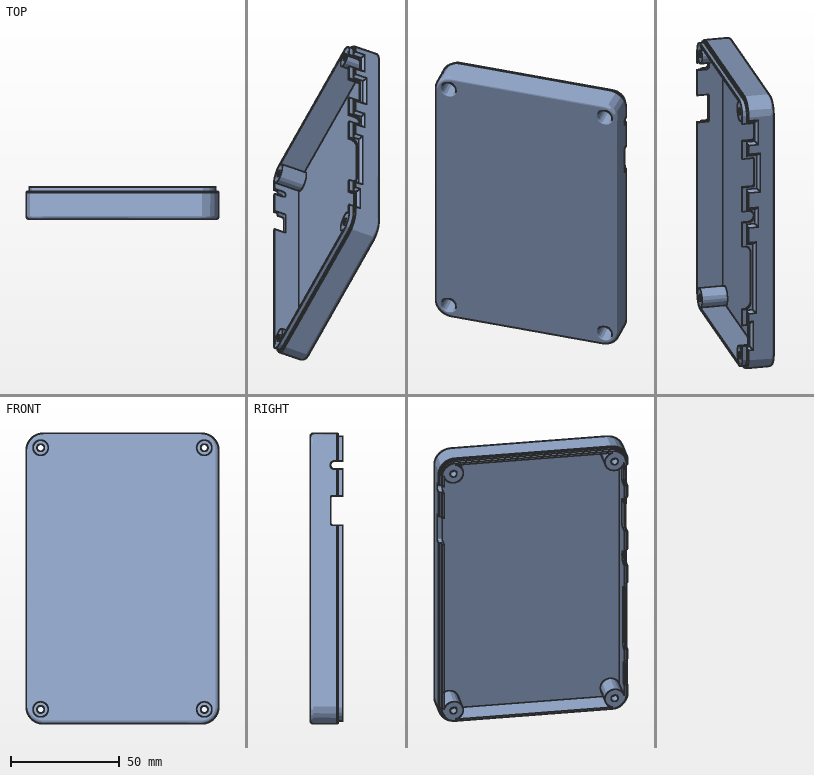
import cadquery as cq

width = 88.5
thickness = 15.0
height = 133.4

corner_radius = 8.0
wall = 2.3
floor = 3.0
base_fillet = 1.6

lip_inset = 1.3
lip_corner_radius = 6.3
lip_height = 2.0
rim_chamfer_depth = 0.7
rim_chamfer_width = 0.47

screw_inset = 6.7
screw_diameter = 3.2
head_diameter = 7.0
head_depth = 9.3
head_fillet = 0.5
post_diameter = 9.1

ports = [
    ((47.4, 55.8, 5.6, 1.1), (45.5, 57.6, 7.2)),
    ((24.5, 38.5, 5.5, 0.7), (22.1, 41.2, 8.1)),
    ((7.2, 12.7, 5.5, 2.7), (5.0, 14.7, 7.2)),
    ((-35.6, -4.5, 3.9, 3.2), (-37.4, -2.3, 6.1)),
    ((-53.6, -43.4, 2.7, 0.1), (-55.4, -41.2, 4.8)),
]
relief_bevel_angle = 45

far_openings = [
    (50.3, 53.9, 5.6, 1.7),
    (24.5, 37.9, 5.5, 0.7),
]

side_x = width / 2
base_y = -thickness / 2
lip_y = thickness / 2
rim_y = lip_y - lip_height
floor_y = base_y + floor

screw_points = [
    (x_sign * (side_x - screw_inset), z_sign * (height / 2 - screw_inset))
    for x_sign in (-1, 1)
    for z_sign in (-1, 1)
]


def rounded_block(inset, radius, start_y, end_y):
    """Block with rounded corners between two Y planes, set in from the outer outline."""
    return (
        cq.Workplane("XZ", origin=(0, end_y, 0))
        .rect(width - 2 * inset, height - 2 * inset)
        .extrude(end_y - start_y)
        .edges("|Y")
        .fillet(radius)
    )


def cylinders(diameter, start_y, end_y):
    """Cylinders along Y at the four screw points."""
    return (
        cq.Workplane("XZ", origin=(0, end_y, 0))
        .pushPoints(screw_points)
        .circle(diameter / 2)
        .extrude(end_y - start_y)
    )


def shell():
    """Hollow tray with a filleted base edge, a chamfered rim and the raised lip."""
    body = rounded_block(0, corner_radius, base_y, rim_y)
    body = body.faces("<Y").edges().fillet(base_fillet)
    body = body.faces(">Y").edges().chamfer(rim_chamfer_depth, rim_chamfer_width)
    lip = rounded_block(lip_inset, lip_corner_radius, rim_y, lip_y)
    cavity = rounded_block(wall, corner_radius - wall, floor_y, lip_y)
    return body.union(lip).cut(cavity)


def add_screw_posts(tray):
    """Corner posts with screw holes, counterbored from the base for the screw heads."""
    tray = tray.union(cylinders(post_diameter, floor_y, lip_y))
    tray = tray.cut(cylinders(screw_diameter, base_y, lip_y))
    tray = tray.cut(cylinders(head_diameter, base_y, base_y + head_depth))
    head_edges = tray.faces("<Y").edges(cq.selectors.RadiusNthSelector(0))
    return head_edges.fillet(head_fillet)


def opening(side, bottom, top, depth, corner):
    """Cutter through one side wall, open at the lip edge, with rounded inner corners."""
    length = depth + lip_height
    return (
        cq.Workplane("XY")
        .box(2 * wall, length, top - bottom)
        .edges("<Y and |X")
        .fillet(corner)
        .translate((side * side_x, lip_y - depth + length / 2, (bottom + top) / 2))
    )


def relief(bottom, top, depth):
    """Cutter for a bevelled relief in the -X side, as deep as the lip is set in."""
    length = 2 * depth
    return (
        cq.Workplane("YZ", origin=(-side_x, lip_y - depth + length / 2, (bottom + top) / 2))
        .rect(length, top - bottom)
        .extrude(lip_inset, taper=relief_bevel_angle)
    )


result = add_screw_posts(shell())
for port_opening, port_relief in ports:
    result = result.cut(opening(-1, *port_opening)).cut(relief(*port_relief))
for far_opening in far_openings:
    result = result.cut(opening(1, *far_opening))